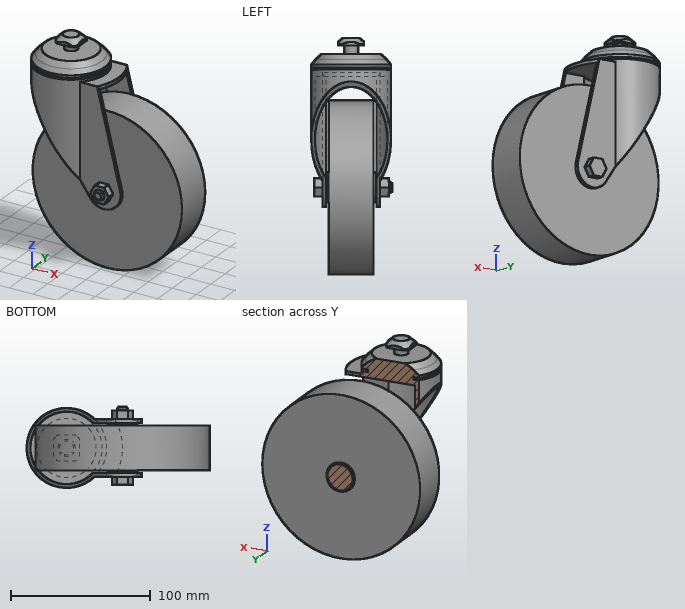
import cadquery as cq
import math


wheel_radius = 62.5
wheel_width = 32.2
axle_x = 40.0
axle_z = wheel_radius

sheet = 2.7
fork_radius = 28.6
leg_outer_y = 20.7
leg_inner_y = leg_outer_y - sheet
leg_end_radius = 13.9
fork_top_z = 146.6
tail_top_z = 144.5
tail_bottom_z = tail_top_z - sheet
tail_radius = axle_x
leg_top_x = math.sqrt(tail_radius**2 - leg_outer_y**2)
shell_back_z = 138.1

groove_radius = 25.4
cap_bottom_z = 148.1
cap_rim_z = 150.2
cap_bend_radius = 25.5
cap_bend_z = 153.9
cap_top_radius = 21.2
cap_top_z = 158.0

stem_radius = 5.0
head_bottom_z = 163.9
head_top_z = 169.3
head_width = 18.6
head_top_radius = 6.1
head_corner_radius = 11.2
head_corner_z = 164.9

spacer_radius = 10.8
shoulder_radius = 10.2
shoulder_length = 0.3

hex_flats = 13.2
hex_corners = hex_flats / math.cos(math.pi / 6)
bolt_head_length = 5.8
nut_length = 6.3
bolt_radius = 4.0
bolt_tip_radius = 2.9
bolt_tip_y = -29.5
bolt_tip_bevel = 1.9


def cylinder_z(radius, z_low, z_high):
    return cq.Workplane("XY").workplane(offset=z_low).circle(radius).extrude(z_high - z_low)


def along_y(sketch, y_low, y_high):
    """Extrude a profile drawn in the XZ plane from y_low to y_high."""
    return sketch.extrude(y_high - y_low).translate((0, y_high, 0))


def axle_plane():
    return cq.Workplane("XZ").center(axle_x, axle_z)


def axle_disc(radius, y_low, y_high):
    return along_y(axle_plane().circle(radius), y_low, y_high)


def axle_hexagon(y_low, y_high):
    return along_y(axle_plane().polygon(6, hex_corners), y_low, y_high)


def leg_end_tangent(point, side):
    """Point where a line from the given point touches the round leg end."""
    dx = point[0] - axle_x
    dz = point[1] - axle_z
    angle = math.atan2(dz, dx) + side * math.acos(leg_end_radius / math.hypot(dx, dz))
    return (axle_x + leg_end_radius * math.cos(angle), axle_z + leg_end_radius * math.sin(angle))


def u_plan(radius, half_width):
    """Round column widened by a straight channel toward +X."""
    channel_length = axle_x + leg_end_radius
    channel = cq.Workplane("XY").rect(channel_length, 2 * half_width).extrude(fork_top_z)
    return cylinder_z(radius, 0, fork_top_z).union(channel.translate((channel_length / 2, 0, 0)))


def make_fork():
    back = (-fork_radius, shell_back_z)
    front = (leg_top_x, tail_top_z)
    side_profile = (
        cq.Workplane("XZ")
        .moveTo(*back)
        .lineTo(*leg_end_tangent(back, 1))
        .threePointArc((axle_x, axle_z - leg_end_radius), leg_end_tangent(front, -1))
        .lineTo(*front)
        .lineTo(-fork_radius, tail_top_z)
        .close()
    )
    outside = u_plan(fork_radius, leg_outer_y)
    inside = u_plan(fork_radius - sheet, leg_inner_y)
    shell = along_y(side_profile, -fork_radius, fork_radius).intersect(outside).cut(inside)
    tail = cylinder_z(tail_radius, tail_bottom_z, tail_top_z).intersect(outside)
    crown = cylinder_z(fork_radius, tail_bottom_z, fork_top_z)
    return shell.union(tail).union(crown)


def make_cap():
    cap_profile = [
        (0, fork_top_z),
        (groove_radius, fork_top_z),
        (groove_radius, cap_bottom_z),
        (fork_radius, cap_bottom_z),
        (fork_radius, cap_rim_z),
        (cap_bend_radius, cap_bend_z),
        (cap_top_radius, cap_top_z),
        (0, cap_top_z),
    ]
    return cq.Workplane("XZ").polyline(cap_profile).close().revolve(360, (0, 0, 0), (0, 1, 0))


def make_stem():
    cone_profile = [
        (0, head_bottom_z),
        (head_corner_radius, head_bottom_z),
        (head_corner_radius, head_corner_z),
        (head_top_radius, head_top_z),
        (0, head_top_z),
    ]
    cone = cq.Workplane("XZ").polyline(cone_profile).close().revolve(360, (0, 0, 0), (0, 1, 0))
    square = cq.Workplane("XY").rect(head_width, head_width).extrude(head_top_z)
    return cylinder_z(stem_radius, cap_top_z, head_bottom_z).union(cone.intersect(square))


def make_wheel():
    half_width = wheel_width / 2
    spacer_y = leg_inner_y - shoulder_length
    wheel = axle_disc(wheel_radius, -half_width, half_width)
    spacers = axle_disc(spacer_radius, -spacer_y, spacer_y)
    shoulders = axle_disc(shoulder_radius, -leg_inner_y, leg_inner_y)
    return wheel.union(spacers).union(shoulders)


def make_bolt():
    head = axle_hexagon(leg_outer_y, leg_outer_y + bolt_head_length)
    nut = axle_hexagon(-leg_outer_y - nut_length, -leg_outer_y)
    shank = axle_disc(bolt_radius, bolt_tip_y, leg_outer_y)
    shank = shank.faces("<Y").edges().chamfer(bolt_tip_bevel, bolt_radius - bolt_tip_radius)
    return shank.union(head).union(nut)


result = make_fork().union(make_cap()).union(make_stem()).union(make_wheel()).union(make_bolt())